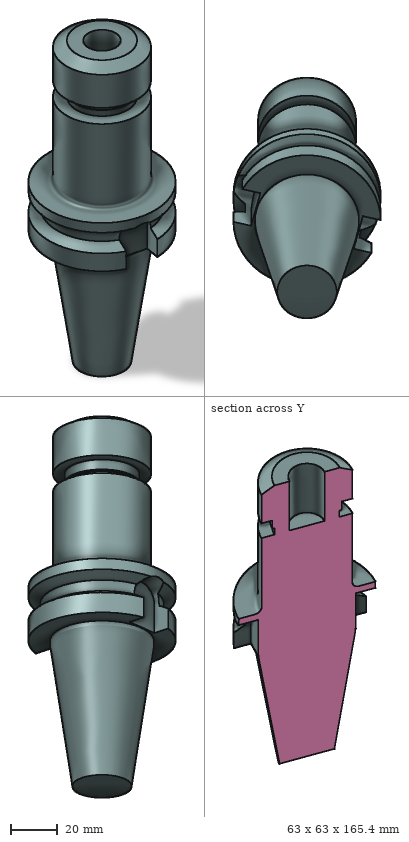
import cadquery as cq
import math

TAPER_LENGTH = 65.4
GAUGE_DIAMETER = 44.45
TAPER_RATIO = 7 / 24
GAUGE_GAP = 2.0

FLANGE_DIAMETER = 63.0
FLANGE_TOP_ABOVE_GAUGE = 27.0
GROOVE_CENTER_ABOVE_GAUGE = 16.6
GROOVE_FLOOR_DIAMETER = 53.0
GROOVE_FLOOR_WIDTH = 5.0
GROOVE_FLANK_ANGLE = 30.0

SLOT_WIDTH = 16.1
SLOT_FLOOR_DISTANCE = 22.6
SLOT_TOP_BELOW_FLANGE_TOP = 4.0

PROJECTION = 100.0
BODY_DIAMETER = 42.0
BODY_FILLET = 3.0

NUT_DIAMETER = 42.0
NUT_FACE_DIAMETER = 30.0
NUT_CHAMFER_ANGLE = 30.0
NUT_HEIGHT = 20.6
COLLAR_DIAMETER = 32.0
COLLAR_HEIGHT = 5.0
COLLAR_CHAMFER = 0.5
NECK_DIAMETER = 30.0
NECK_HEIGHT = 3.4

BORE_DIAMETER = 16.0

gauge_z = TAPER_LENGTH
flange_bottom_z = gauge_z + GAUGE_GAP
flange_top_z = gauge_z + FLANGE_TOP_ABOVE_GAUGE
top_z = gauge_z + PROJECTION
nut_bottom_z = top_z - NUT_HEIGHT
collar_bottom_z = nut_bottom_z - COLLAR_HEIGHT
body_top_z = collar_bottom_z - NECK_HEIGHT


def make_revolved_body():
    """Revolve the half section of taper, flange, body, neck and nut about Z."""
    gauge_radius = GAUGE_DIAMETER / 2
    tip_radius = gauge_radius - TAPER_LENGTH * TAPER_RATIO / 2
    flange_radius = FLANGE_DIAMETER / 2
    floor_radius = GROOVE_FLOOR_DIAMETER / 2
    body_radius = BODY_DIAMETER / 2
    nut_radius = NUT_DIAMETER / 2
    nut_face_radius = NUT_FACE_DIAMETER / 2
    collar_radius = COLLAR_DIAMETER / 2
    neck_radius = NECK_DIAMETER / 2

    groove_z = gauge_z + GROOVE_CENTER_ABOVE_GAUGE
    half_floor = GROOVE_FLOOR_WIDTH / 2
    flank_rise = (flange_radius - floor_radius) * math.tan(math.radians(GROOVE_FLANK_ANGLE))
    half_mouth = half_floor + flank_rise
    nut_chamfer_rise = (nut_radius - nut_face_radius) * math.tan(math.radians(NUT_CHAMFER_ANGLE))
    fillet_mid = BODY_FILLET * (1 - math.sqrt(0.5))

    section = (
        cq.Workplane("XZ")
        .moveTo(0, 0)
        .lineTo(tip_radius, 0)
        .lineTo(gauge_radius, gauge_z)
        .lineTo(gauge_radius, flange_bottom_z)
        .lineTo(flange_radius, flange_bottom_z)
        .lineTo(flange_radius, groove_z - half_mouth)
        .lineTo(floor_radius, groove_z - half_floor)
        .lineTo(floor_radius, groove_z + half_floor)
        .lineTo(flange_radius, groove_z + half_mouth)
        .lineTo(flange_radius, flange_top_z)
        .lineTo(body_radius + BODY_FILLET, flange_top_z)
        .threePointArc(
            (body_radius + fillet_mid, flange_top_z + fillet_mid),
            (body_radius, flange_top_z + BODY_FILLET),
        )
        .lineTo(body_radius, body_top_z)
        .lineTo(neck_radius, body_top_z)
        .lineTo(neck_radius, collar_bottom_z)
        .lineTo(collar_radius - COLLAR_CHAMFER, collar_bottom_z)
        .lineTo(collar_radius, collar_bottom_z + COLLAR_CHAMFER)
        .lineTo(collar_radius, nut_bottom_z)
        .lineTo(nut_radius, nut_bottom_z)
        .lineTo(nut_radius, top_z - nut_chamfer_rise)
        .lineTo(nut_face_radius, top_z)
        .lineTo(0, top_z)
        .close()
    )
    return section.revolve(360, (0, 0, 0), (0, 1, 0))


def make_drive_slot(side):
    """Round-topped slot, open at the flange underside, on the +X (1) or -X (-1) side."""
    half_width = SLOT_WIDTH / 2
    slot_top_z = flange_top_z - SLOT_TOP_BELOW_FLANGE_TOP
    arc_center_z = slot_top_z - half_width
    return (
        cq.Workplane("YZ", origin=(side * SLOT_FLOOR_DISTANCE, 0, 0))
        .moveTo(-half_width, flange_bottom_z)
        .lineTo(half_width, flange_bottom_z)
        .lineTo(half_width, arc_center_z)
        .threePointArc((0, slot_top_z), (-half_width, arc_center_z))
        .close()
        .extrude(side * FLANGE_DIAMETER / 2)
    )


def make_bore():
    """Blind collet bore from the nut face down to the level of the body top."""
    return (
        cq.Workplane("XY", origin=(0, 0, body_top_z))
        .circle(BORE_DIAMETER / 2)
        .extrude(top_z - body_top_z)
    )


result = make_revolved_body()
for side in (-1, 1):
    result = result.cut(make_drive_slot(side))
result = result.cut(make_bore())